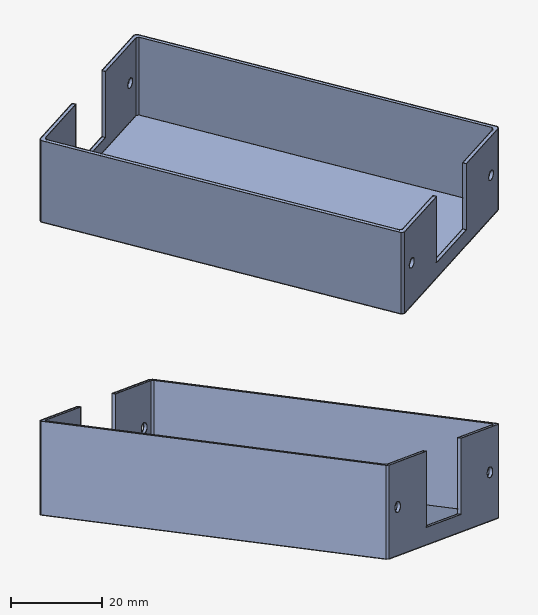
import cadquery as cq

length = 88.5
width = 48.5
height = 21.1
wall = 0.9
floor = 1.0
corner_chamfer = 0.5

notch_width = 15.0
notch_bottom = 4.0

hole_diameter = 2.4
hole_spacing = 40.0
hole_height = 11.0


def make_tray():
    """Open-topped box with bevelled vertical corners inside and out, resting on Z = 0."""
    outer = cq.Workplane("XY").box(length, width, height, centered=(True, True, False))
    outer = outer.edges("|Z").chamfer(corner_chamfer)
    cavity = (
        cq.Workplane("XY", origin=(0, 0, floor))
        .box(length - 2 * wall, width - 2 * wall, height - floor, centered=(True, True, False))
    )
    cavity = cavity.edges("|Z").chamfer(corner_chamfer)
    return outer.cut(cavity)


def make_notches():
    """Bar along X that opens both end walls down to the notch bottom."""
    return (
        cq.Workplane("XY", origin=(0, 0, notch_bottom))
        .box(length, notch_width, height - notch_bottom, centered=(True, True, False))
    )


def make_screw_holes():
    """Two rods along X that pierce both end walls."""
    return (
        cq.Workplane("YZ", origin=(-length / 2, 0, hole_height))
        .pushPoints([(-hole_spacing / 2, 0), (hole_spacing / 2, 0)])
        .circle(hole_diameter / 2)
        .extrude(length)
    )


result = make_tray().cut(make_notches()).cut(make_screw_holes())